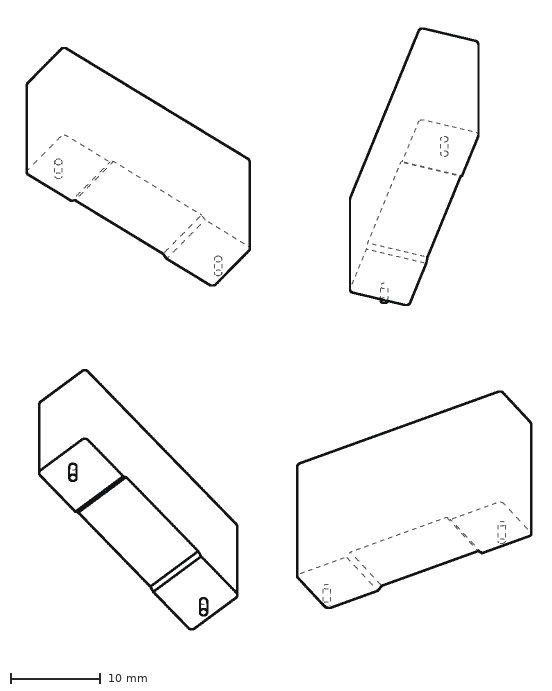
import cadquery as cq

case_length = 26.5
case_width = 7.0
overall_height = 18.5
lead_length = 2.5
case_height = overall_height - lead_length
edge_radius = 0.48

recess_depth = 0.5
recess_bottom_length = 13.4
recess_top_length = recess_bottom_length - 2 * recess_depth

lead_diameter = 0.82
lead_spacing = 22.5


def make_case():
    """Block with rounded upright and top edges and a sharp underside."""
    block = cq.Workplane("XY").box(
        case_length, case_width, case_height, centered=(True, True, False)
    )
    return block.edges("|Z or >Z").fillet(edge_radius)


def make_recess():
    """Trapezoidal channel running through the full case width."""
    return (
        cq.Workplane("XZ")
        .moveTo(-recess_bottom_length / 2, 0)
        .lineTo(-recess_top_length / 2, recess_depth)
        .lineTo(recess_top_length / 2, recess_depth)
        .lineTo(recess_bottom_length / 2, 0)
        .close()
        .extrude(case_width / 2, both=True)
    )


def make_leads():
    """Two round leads hanging from the underside."""
    return (
        cq.Workplane("XY")
        .pushPoints([(-lead_spacing / 2, 0), (lead_spacing / 2, 0)])
        .circle(lead_diameter / 2)
        .extrude(-lead_length)
    )


result = make_case().cut(make_recess()).union(make_leads())